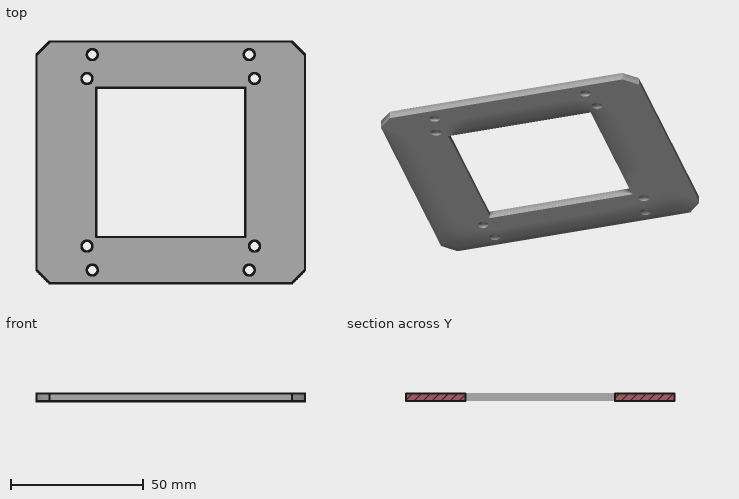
import cadquery as cq

length_x = 101.0
width_y = 91.0
thickness = 3.0
corner_chamfer = 5.0

window_side = 56.0

hole_diameter = 4.0
inner_spacing = (63.0, 63.0)
outer_spacing = (59.0, 81.0)


def make_plate():
    """Flat plate with its four corners cut off at 45 degrees."""
    plate = cq.Workplane("XY").rect(length_x, width_y).extrude(thickness)
    return plate.edges("|Z").chamfer(corner_chamfer)


def cut_window(body):
    """Cut the square window through the middle of the plate."""
    window = cq.Workplane("XY").rect(window_side, window_side).extrude(thickness)
    return body.cut(window)


def drill_four_holes(body, spacing):
    """Drill a through hole at each corner of a centred rectangle."""
    spacing_x, spacing_y = spacing
    corners = cq.Workplane("XY").rect(spacing_x, spacing_y, forConstruction=True).vertices()
    return body.cut(corners.circle(hole_diameter / 2).extrude(thickness))


result = cut_window(make_plate())
for hole_spacing in (inner_spacing, outer_spacing):
    result = drill_four_holes(result, hole_spacing)